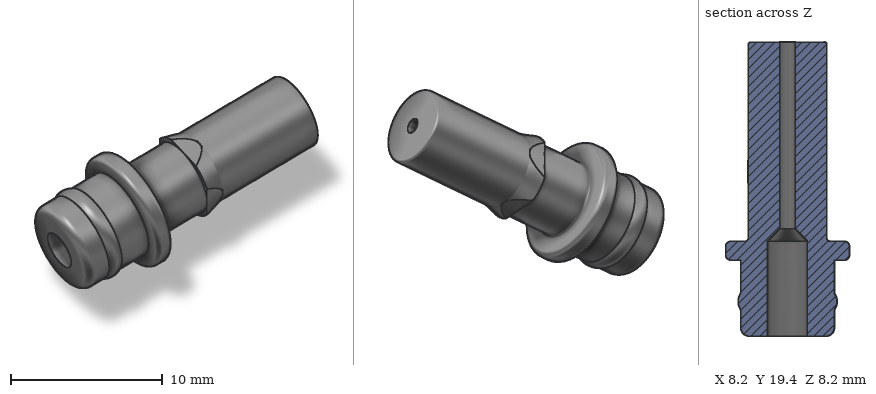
import cadquery as cq

length = 19.4
front_y = -length / 2

plug_radius = 6.2 / 2
plug_edge_fillet = 0.6
bead_start = 1.77
bead_end = 2.83
bead_rise = 0.17

flange_radius = 8.2 / 2
flange_start = 5.0
flange_end = 6.29
flange_fillet = 0.39

tube_radius = 5.2 / 2
tube_root_fillet = 0.2
tube_end_fillet = 0.17

barb_start = 10.18
barb_end = 11.48
barb_radius = 2.95

wide_bore_radius = 2.6 / 2
narrow_bore_radius = 1.0 / 2
wide_bore_depth = flange_end
bore_cone_length = wide_bore_radius - narrow_bore_radius


def cylinder(radius, start, end):
    return cq.Workplane("XZ", origin=(0, front_y + start, 0)).circle(radius).extrude(start - end)


def revolve(profile):
    """Turn a closed (radius, y) profile about the Y axis."""
    return profile.close().revolve(360, (0, 0, 0), (0, 1, 0))


def make_plug():
    plug = cylinder(plug_radius, 0, flange_start).faces("<Y").edges().fillet(plug_edge_fillet)
    bead_middle = (bead_start + bead_end) / 2
    bead = revolve(
        cq.Workplane("XY")
        .moveTo(0, front_y + bead_start)
        .lineTo(plug_radius, front_y + bead_start)
        .threePointArc(
            (plug_radius + bead_rise, front_y + bead_middle),
            (plug_radius, front_y + bead_end),
        )
        .lineTo(0, front_y + bead_end)
    )
    return plug.union(bead)


def make_flange():
    return cylinder(flange_radius, flange_start, flange_end).edges().fillet(flange_fillet)


def make_tube():
    tube = cylinder(tube_radius, flange_end, length).faces(">Y").edges().fillet(tube_end_fillet)
    root_y = front_y + flange_end
    root = revolve(
        cq.Workplane("XY")
        .moveTo(0, root_y)
        .lineTo(tube_radius + tube_root_fillet, root_y)
        .radiusArc((tube_radius, root_y + tube_root_fillet), tube_root_fillet)
        .lineTo(0, root_y + tube_root_fillet)
    )
    return tube.union(root)


def make_barb():
    cone = revolve(
        cq.Workplane("XY")
        .moveTo(0, front_y + barb_start)
        .lineTo(barb_radius, front_y + barb_start)
        .lineTo(tube_radius, front_y + barb_end)
        .lineTo(0, front_y + barb_end)
    )
    flats = (
        cq.Workplane("XZ", origin=(0, front_y + barb_start, 0))
        .rect(2 * tube_radius, 2 * tube_radius)
        .extrude(barb_start - barb_end)
    )
    return cone.intersect(flats)


def make_bore():
    cone_start_y = front_y + wide_bore_depth
    return revolve(
        cq.Workplane("XY")
        .moveTo(0, front_y)
        .lineTo(wide_bore_radius, front_y)
        .lineTo(wide_bore_radius, cone_start_y)
        .lineTo(narrow_bore_radius, cone_start_y + bore_cone_length)
        .lineTo(narrow_bore_radius, front_y + length)
        .lineTo(0, front_y + length)
    )


body = make_plug().union(make_flange()).union(make_tube()).union(make_barb())
result = body.cut(make_bore())